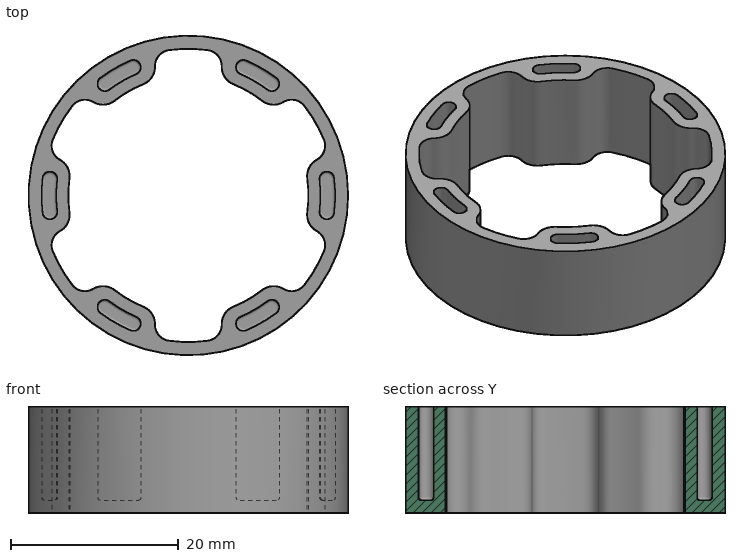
import cadquery as cq
import math

outer_radius = 19.05
height = 12.7

lobe_count = 6
lobe_radius = 14.3
pocket_radius = 17.45
lobe_corner_radius = 2.25
pocket_corner_radius = 1.9
pocket_corner_angle = 22.4

slot_mid_radius = 16.6
slot_width = 1.75
slot_length = 5.68
slot_floor_thickness = outer_radius - (slot_mid_radius + slot_width / 2)
slot_depth = height - slot_floor_thickness
slot_floor_fillet = 0.35

lobe_pitch = 360.0 / lobe_count


def polar(radius, angle):
    """Point at a radius and an angle in degrees."""
    return (radius * math.cos(math.radians(angle)), radius * math.sin(math.radians(angle)))


def bore_outline():
    """Closed bore outline made of tangent arcs, one lobe and one pocket per pitch."""
    pocket_centre_radius = pocket_radius - pocket_corner_radius
    lobe_centre_radius = lobe_radius + lobe_corner_radius
    centre_distance = pocket_corner_radius + lobe_corner_radius

    corner_spread = math.degrees(math.acos(
        (pocket_centre_radius**2 + lobe_centre_radius**2 - centre_distance**2)
        / (2 * pocket_centre_radius * lobe_centre_radius)
    ))
    lobe_corner_angle = pocket_corner_angle - corner_spread

    lobe_centre = cq.Vector(*polar(lobe_centre_radius, lobe_corner_angle))
    pocket_centre = cq.Vector(*polar(pocket_centre_radius, pocket_corner_angle))
    flank_direction = (pocket_centre - lobe_centre).normalized()
    flank_point = lobe_centre + flank_direction * lobe_corner_radius

    def arc_middle(centre, radius, start, end):
        """Midpoint of an arc between two points on it."""
        bisector = (start - centre).normalized() + (end - centre).normalized()
        return centre + bisector.normalized() * radius

    lobe_end = cq.Vector(*polar(lobe_radius, lobe_corner_angle))
    pocket_start = cq.Vector(*polar(pocket_radius, pocket_corner_angle))
    lobe_corner_middle = arc_middle(lobe_centre, lobe_corner_radius, lobe_end, flank_point)
    pocket_corner_middle = arc_middle(pocket_centre, pocket_corner_radius, flank_point, pocket_start)

    def place(point, lobe_angle, side):
        """Copy a flank point to a lobe; side is -1 for the mirrored flank."""
        angle = side * math.degrees(math.atan2(point.y, point.x))
        return polar(math.hypot(point.x, point.y), lobe_angle + angle)

    outline = cq.Workplane("XY").moveTo(*place(lobe_end, 0, -1))
    for index in range(lobe_count):
        here = index * lobe_pitch
        following = here + lobe_pitch
        outline = (
            outline
            .threePointArc(polar(lobe_radius, here), place(lobe_end, here, 1))
            .threePointArc(place(lobe_corner_middle, here, 1), place(flank_point, here, 1))
            .threePointArc(place(pocket_corner_middle, here, 1), place(pocket_start, here, 1))
            .threePointArc(polar(pocket_radius, here + lobe_pitch / 2), place(pocket_start, following, -1))
            .threePointArc(place(pocket_corner_middle, following, -1), place(flank_point, following, -1))
            .threePointArc(place(lobe_corner_middle, following, -1), place(lobe_end, following, -1))
        )
    return outline.close()


def slot_cutter():
    """Round-ended slot, concentric with the ring, with a rounded floor."""
    half_width = slot_width / 2
    inner_radius = slot_mid_radius - half_width
    outer_slot_radius = slot_mid_radius + half_width
    end_angle = math.degrees(math.asin((slot_length / 2 - half_width) / slot_mid_radius))
    tip_angle = end_angle + math.degrees(half_width / slot_mid_radius)
    return (
        cq.Workplane("XY")
        .workplane(offset=slot_floor_thickness)
        .moveTo(*polar(inner_radius, -end_angle))
        .threePointArc(polar(inner_radius, 0), polar(inner_radius, end_angle))
        .threePointArc(polar(slot_mid_radius, tip_angle), polar(outer_slot_radius, end_angle))
        .threePointArc(polar(outer_slot_radius, 0), polar(outer_slot_radius, -end_angle))
        .threePointArc(polar(slot_mid_radius, -tip_angle), polar(inner_radius, -end_angle))
        .close()
        .extrude(slot_depth)
        .faces("<Z").edges().fillet(slot_floor_fillet)
    )


result = cq.Workplane("XY").circle(outer_radius).extrude(height)
result = result.cut(bore_outline().extrude(height))

slot = slot_cutter()
for index in range(lobe_count):
    result = result.cut(slot.rotate((0, 0, 0), (0, 0, 1), index * lobe_pitch))